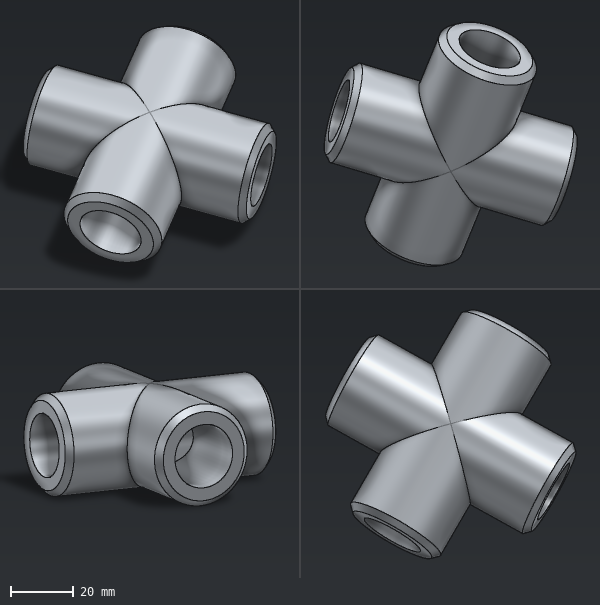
import cadquery as cq

overall_length = 76.2
outer_diameter = 33.528
bore_diameter = 20.828
end_chamfer = 2.12


def centered_cylinder(plane, diameter):
    """Cylinder of the full cross length, centred on the origin along the plane normal."""
    return cq.Workplane(plane).circle(diameter / 2).extrude(overall_length / 2, both=True)


def chamfered_tube_body(plane, axis):
    """Solid outer body of one run, bevelled around both ends for welding."""
    body = centered_cylinder(plane, outer_diameter)
    return body.faces(f"|{axis}").edges().chamfer(end_chamfer)


cross_body = chamfered_tube_body("YZ", "X").union(chamfered_tube_body("XZ", "Y"))

through_bores = centered_cylinder("YZ", bore_diameter).union(centered_cylinder("XZ", bore_diameter))

result = cross_body.cut(through_bores)